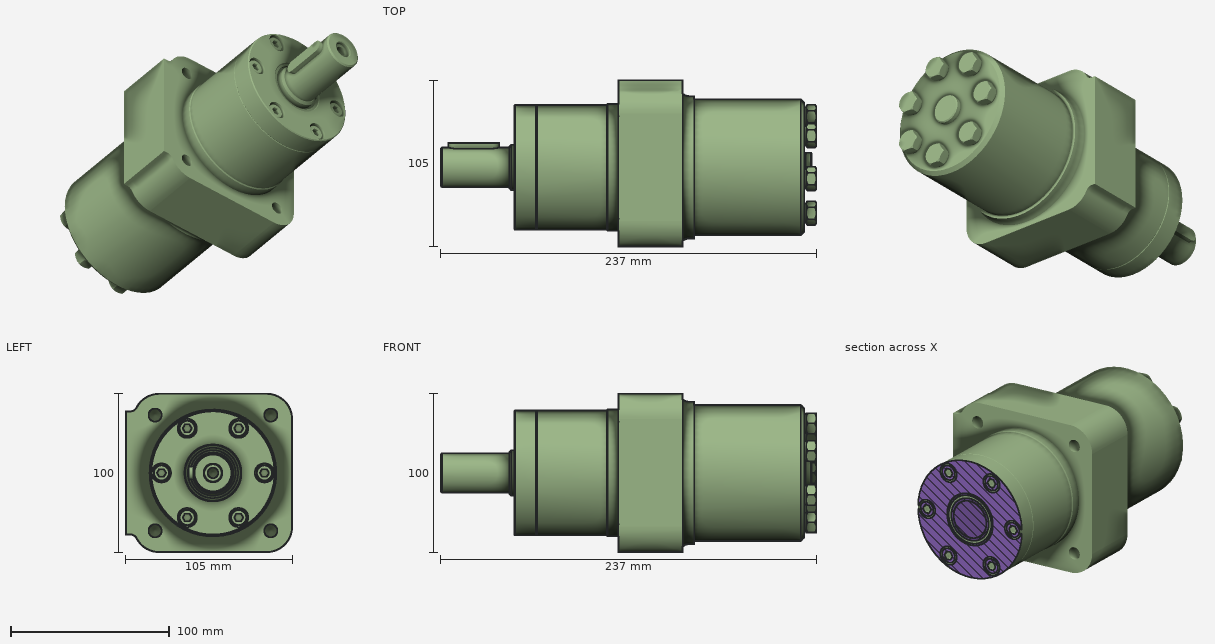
import cadquery as cq
import math


seal_start = 43.1
cover_start = 46.5
housing_start = 60.5
pilot_start = 104.7
flange_start = 112.0
flange_end = 152.5
collar_end = 160.0
rear_end = 229.3
total_length = 237.0

shaft_diameter = 25.0
shaft_chamfer = 1.0
shaft_hole_diameter = 6.6
shaft_hole_depth = 14.2
shaft_counterbore_diameter = 11.0
shaft_counterbore_depth = 2.4
shaft_counterbore_chamfer = 0.5
key_start = 4.7
key_length = 32.2
key_width = 8.0
key_height = 7.0
key_top = 15.5
drill_tip_angle = 118.0

seal_diameter = 35.0
seal_lip_diameter = 28.7
seal_lip_taper = 1.5
seal_groove_diameter = 31.7
seal_groove_depth = 1.5
seal_recess = 0.7
seal_length = 7.0
seal_seat_chamfer = 0.5

front_diameter = 79.0
front_chamfer = 0.6
joint_chamfer = 0.35
screw_count = 6
screw_circle_radius = 32.5
screw_counterbore_diameter = 12.0
screw_counterbore_depth = 6.2
screw_head_diameter = 10.0
screw_head_height = 5.0
screw_head_chamfer = 0.2
socket_width = 5.0
socket_depth = 2.8

pilot_diameter = 80.0
pilot_chamfer = 0.7
flange_width = 100.0
flange_corner_radius = 16.0
ear_reach = 55.0
ear_width = 77.7
ear_fillet = 4.5
mount_hole_diameter = 8.3
mount_hole_offset = 36.5
mount_hole_depth = 19.0
collar_diameter = 90.0
collar_blend_radius = 5.5
collar_blend_length = 3.8
rear_diameter = 86.0
rear_chamfer = 2.4

bolt_count = 7
bolt_circle_radius = 32.0
bolt_head_width = 13.0
bolt_head_chamfer = 1.0
bolt_collar_diameter = 12.0
bolt_collar_height = 1.2
plug_diameter = 18.7
plug_neck_diameter = 17.0
plug_neck_height = 1.0
plug_height = 4.7
plug_chamfer = 0.7


def plane_at(x):
    """Plane across the axis with its normal along +X, local x along Y and local y along Z."""
    return cq.Workplane("YZ", origin=(x, 0, 0))


def disc(x_start, x_end, diameter):
    return plane_at(x_start).circle(diameter / 2).extrude(x_end - x_start)


def lead_in(x, hole_diameter, chamfer):
    """Cone that chamfers the mouth of a hole whose opening lies at x, as a cutting tool."""
    return plane_at(x).circle(hole_diameter / 2 + chamfer).extrude(chamfer, taper=45)


def hexagons(x_start, x_end, width, spots):
    """Hexagonal prisms of a given width across flats, with corners towards +Y and -Y."""
    across_corners = width / math.cos(math.pi / 6)
    return plane_at(x_start).pushPoints(spots).polygon(6, across_corners).extrude(x_end - x_start)


def ring_of_spots(radius, count):
    """Evenly spaced (Y, Z) points, the first one on the +Y side."""
    step = 2 * math.pi / count
    return [(radius * math.cos(i * step), radius * math.sin(i * step)) for i in range(count)]


def drilled_holes(x_start, diameter, depth, spots):
    """Blind holes along +X with a conical drill tip, as cutting tools."""
    radius = diameter / 2
    tip = radius / math.tan(math.radians(drill_tip_angle / 2))
    tool = (
        cq.Workplane("XY")
        .polyline([(0, 0), (0, radius), (depth, radius), (depth + tip, 0)])
        .close()
        .revolve(360, (0, 0, 0), (1, 0, 0))
    )
    holes = cq.Workplane("XY")
    for y, z in spots:
        holes = holes.add(tool.translate((x_start, y, z)))
    return holes.combine()


def make_key():
    return (
        cq.Workplane("XZ", origin=(key_start + key_length / 2, key_top, 0))
        .slot2D(key_length, key_width)
        .extrude(key_height)
    )


def make_shaft(key):
    shaft = disc(0, housing_start, shaft_diameter).faces("<X").chamfer(shaft_chamfer)
    shaft = shaft.cut(disc(0, shaft_counterbore_depth, shaft_counterbore_diameter))
    shaft = shaft.cut(lead_in(0, shaft_counterbore_diameter, shaft_counterbore_chamfer))
    shaft = shaft.cut(drilled_holes(0, shaft_hole_diameter, shaft_hole_depth, [(0, 0)]))
    return shaft.cut(key)


def make_seal():
    body_start = cover_start + seal_recess
    lip = disc(seal_start, body_start, seal_lip_diameter).faces("<X").chamfer(seal_lip_taper)
    body = disc(body_start, cover_start + seal_length, seal_diameter)
    groove = disc(body_start, body_start + seal_groove_depth, seal_groove_diameter)
    lip_root = disc(body_start, body_start + seal_groove_depth, seal_lip_diameter)
    return body.cut(groove).union(lip_root).union(lip).cut(disc(seal_start, housing_start, shaft_diameter))


def make_cover():
    cover = disc(cover_start, housing_start, front_diameter)
    cover = cover.faces("<X").chamfer(front_chamfer).faces(">X").chamfer(joint_chamfer)
    seat = disc(cover_start, cover_start + seal_length, seal_diameter)
    cover = cover.cut(seat.union(lead_in(cover_start, seal_diameter, seal_seat_chamfer)))
    cover = cover.cut(disc(cover_start, housing_start, shaft_diameter))

    spots = ring_of_spots(screw_circle_radius, screw_count)
    floor = cover_start + screw_counterbore_depth
    head_top = floor - screw_head_height
    counterbores = (
        plane_at(cover_start)
        .pushPoints(spots)
        .circle(screw_counterbore_diameter / 2)
        .extrude(screw_counterbore_depth)
    )
    heads = (
        plane_at(head_top)
        .pushPoints(spots)
        .circle(screw_head_diameter / 2)
        .extrude(screw_head_height)
        .faces("<X")
        .chamfer(screw_head_chamfer)
    )
    sockets = hexagons(head_top, head_top + socket_depth, socket_width, spots)
    return cover.cut(counterbores).union(heads).cut(sockets)


def make_flange():
    """Rounded square plate whose +Y side widens into an ear between two concave fillets."""
    half = flange_width / 2
    corner_centre = half - flange_corner_radius
    ear_half = ear_width / 2
    plate = (
        plane_at(flange_start)
        .rect(flange_width, flange_width)
        .extrude(flange_end - flange_start)
        .edges("|X")
        .fillet(flange_corner_radius)
    )

    fillet_z = ear_half + ear_fillet
    reach = flange_corner_radius + ear_fillet
    rise = fillet_z - corner_centre
    fillet_y = corner_centre + math.sqrt(reach**2 - rise**2)
    share = flange_corner_radius / reach
    touch_y = corner_centre + share * (fillet_y - corner_centre)
    touch_z = corner_centre + share * rise
    middle_angle = (math.atan2(touch_z - fillet_z, touch_y - fillet_y) - math.pi / 2) / 2
    middle_y = fillet_y + ear_fillet * math.cos(middle_angle)
    middle_z = fillet_z + ear_fillet * math.sin(middle_angle)
    ear = (
        plane_at(flange_start)
        .moveTo(corner_centre, -touch_z)
        .lineTo(touch_y, -touch_z)
        .threePointArc((middle_y, -middle_z), (fillet_y, -ear_half))
        .lineTo(ear_reach, -ear_half)
        .lineTo(ear_reach, ear_half)
        .lineTo(fillet_y, ear_half)
        .threePointArc((middle_y, middle_z), (touch_y, touch_z))
        .lineTo(corner_centre, touch_z)
        .close()
        .extrude(flange_end - flange_start)
    )
    sides = (-mount_hole_offset, mount_hole_offset)
    spots = [(y, z) for y in sides for z in sides]
    holes = drilled_holes(flange_start, mount_hole_diameter, mount_hole_depth, spots)
    return plate.union(ear).cut(holes)


def make_collar():
    """Collar behind the flange, flaring towards it in a concave arc tangent to the collar."""
    radius = collar_diameter / 2
    arc_x = flange_end + collar_blend_length
    arc_r = radius + collar_blend_radius
    arc_angle = math.asin(collar_blend_length / collar_blend_radius)
    start, middle = [
        (arc_x - collar_blend_radius * math.sin(angle), arc_r - collar_blend_radius * math.cos(angle))
        for angle in (arc_angle, arc_angle / 2)
    ]
    return (
        cq.Workplane("XY")
        .moveTo(flange_end, 0)
        .lineTo(*start)
        .threePointArc(middle, (arc_x, radius))
        .lineTo(collar_end, radius)
        .lineTo(collar_end, 0)
        .close()
        .revolve(360, (0, 0, 0), (1, 0, 0))
    )


def make_bolts():
    spots = ring_of_spots(bolt_circle_radius, bolt_count)
    head_start = rear_end + bolt_collar_height
    collars = (
        plane_at(rear_end)
        .pushPoints(spots)
        .circle(bolt_collar_diameter / 2)
        .extrude(bolt_collar_height)
    )
    corner_radius = bolt_head_width / 2 / math.cos(math.pi / 6)
    trims = (
        plane_at(head_start)
        .pushPoints(spots)
        .circle(corner_radius)
        .extrude(total_length - head_start)
        .faces("<X or >X")
        .chamfer(bolt_head_chamfer)
    )
    heads = hexagons(head_start, total_length, bolt_head_width, spots).intersect(trims)
    return collars.union(heads)


def make_plug():
    neck_end = rear_end + plug_neck_height
    neck = disc(rear_end, neck_end, plug_neck_diameter)
    head = disc(neck_end, rear_end + plug_height, plug_diameter)
    return neck.union(head.faces(">X").chamfer(plug_chamfer))


def make_housing():
    front = disc(housing_start, pilot_start, front_diameter).faces("<X").chamfer(joint_chamfer)
    pilot = disc(pilot_start, flange_start, pilot_diameter).faces("<X").chamfer(pilot_chamfer)
    rear = disc(collar_end, rear_end, rear_diameter).faces(">X").chamfer(rear_chamfer)
    housing = front.union(pilot).union(make_flange()).union(make_collar()).union(rear)
    return housing.union(make_bolts()).union(make_plug())


key = make_key()
shaft = make_shaft(key)
seal = make_seal()
cover = make_cover()
housing = make_housing()

result = cq.Compound.makeCompound([key.val(), shaft.val(), seal.val(), cover.val(), housing.val()])